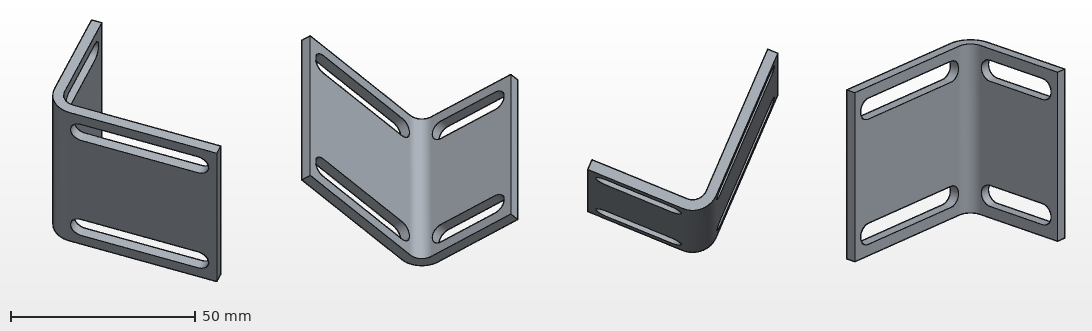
import cadquery as cq

length_x = 50.0
length_y = 35.0
height = 50.0
thickness = 3.0
outer_bend_radius = 7.0
inner_bend_radius = outer_bend_radius - thickness

slot_width = 6.2
slot_row_spacing = 37.0
slot_end_inset = 5.5
long_slot_centres = 34.0
short_slot_centres = 19.0


def bent_plate():
    """L-shaped plate with concentric bend radii, outer corner at the origin."""
    outer = cq.Workplane("XY").box(length_x, length_y, height, centered=False)
    outer = outer.edges("|Z and <X and <Y").fillet(outer_bend_radius)
    inner = (
        cq.Workplane("XY")
        .box(length_x, length_y, height, centered=False)
        .edges("|Z and <X and <Y")
        .fillet(inner_bend_radius)
        .translate((thickness, thickness, 0))
    )
    return outer.cut(inner)


def slot_pair(plane, leg_length, arc_centres, depth):
    """Two slot cutters running along a leg, starting at its outer face."""
    slot_middle = leg_length - slot_end_inset - arc_centres / 2
    rows = [height / 2 + side * slot_row_spacing / 2 for side in (-1, 1)]
    return (
        cq.Workplane(plane)
        .pushPoints([(slot_middle, row) for row in rows])
        .slot2D(arc_centres + slot_width, slot_width)
        .extrude(depth)
    )


long_slots = slot_pair("XZ", length_x, long_slot_centres, -thickness)
short_slots = slot_pair("YZ", length_y, short_slot_centres, thickness)

result = bent_plate().cut(long_slots).cut(short_slots)